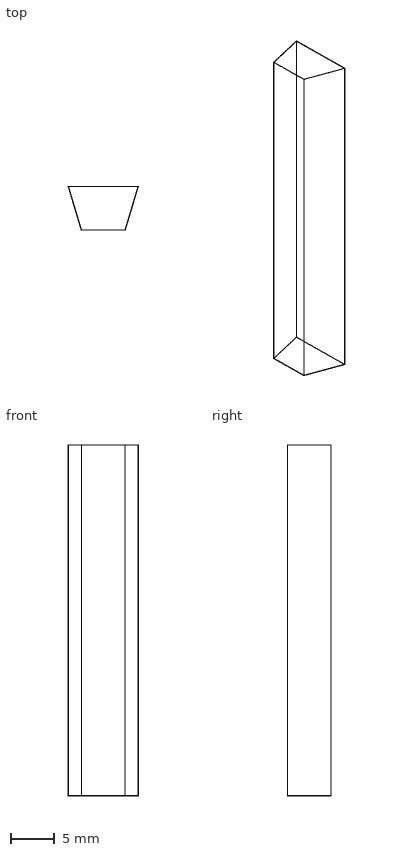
import cadquery as cq

length = 40.0
depth = 5.0
back_width = 8.0
front_width = 5.0

front_y = -depth / 2
back_y = depth / 2

section = [
    (-front_width / 2, front_y),
    (front_width / 2, front_y),
    (back_width / 2, back_y),
    (-back_width / 2, back_y),
]

result = cq.Workplane("XY").polyline(section).close().extrude(length)